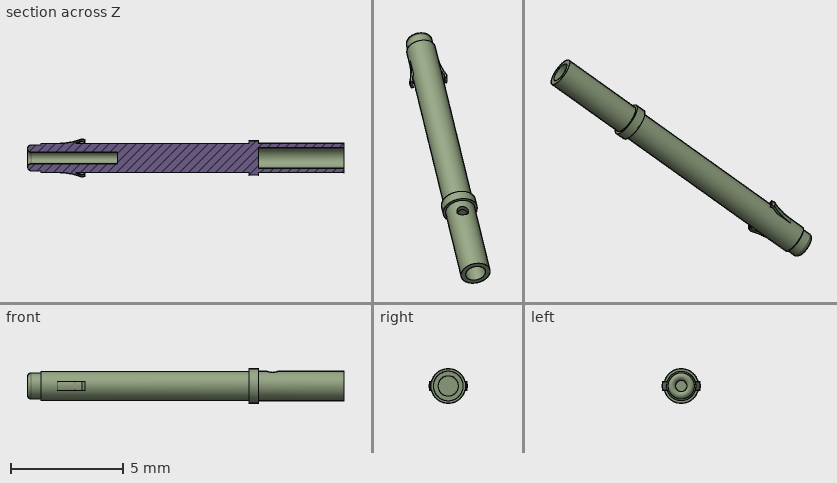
import cadquery as cq

total_length = 14.09

shank_diameter = 1.3
shank_radius = shank_diameter / 2

nose_diameter = 1.17
nose_length = 0.6

socket_diameter = 0.5
socket_depth = 4.0

rim_radius = (nose_diameter - socket_diameter) / 4

collar_diameter = 1.55
collar_start = 9.85
collar_width = 0.44
collar_end = collar_start + collar_width

barrel_diameter = 1.32
barrel_bore_diameter = 0.9

inspection_diameter = 0.5
inspection_x = 10.9

tine_span = 1.7
tine_width = 0.4
tine_start = 1.34
tine_crest_start = 2.42
tine_end = 2.56
tine_thickness = 0.1
tine_tip_drop = 0.03


def cylinder_along_x(diameter, start, end):
    return cq.Workplane("YZ", origin=(start, 0, 0)).circle(diameter / 2).extrude(end - start)


def make_nose():
    """Hollow nose and socket wall, with the rounded rim at the mating face."""
    outer = nose_diameter / 2
    inner = socket_diameter / 2
    return (
        cq.Workplane("XY")
        .moveTo(rim_radius, inner)
        .threePointArc((0, inner + rim_radius), (rim_radius, outer))
        .lineTo(nose_length, outer)
        .lineTo(nose_length, inner)
        .close()
        .revolve(360, (0, 0, 0), (1, 0, 0))
    )


def make_tines():
    """Two slices of a flared ring: an even-walled skirt that curves out of the shank to a turned-down tip."""
    crest = tine_span / 2
    tip = crest - tine_tip_drop
    ramp_length = tine_crest_start - tine_start
    ramp_rise = crest - shank_radius
    ramp_radius = (ramp_length**2 + ramp_rise**2) / (2 * ramp_rise)
    flared_ring = (
        cq.Workplane("XY")
        .moveTo(tine_start, shank_radius)
        .radiusArc((tine_crest_start, crest), -ramp_radius)
        .lineTo(tine_end, tip)
        .lineTo(tine_end, tip - tine_thickness)
        .lineTo(tine_crest_start, crest - tine_thickness)
        .radiusArc((tine_start, shank_radius - tine_thickness), ramp_radius)
        .close()
        .revolve(360, (0, 0, 0), (1, 0, 0))
    )
    slice_center = (tine_start + tine_end) / 2
    slice_box = cq.Workplane("XY", origin=(slice_center, 0, 0)).box(tine_end - tine_start, tine_span, tine_width)
    return flared_ring.intersect(slice_box)


def make_outer_body():
    shank = cylinder_along_x(shank_diameter, nose_length, collar_start)
    collar = cylinder_along_x(collar_diameter, collar_start, collar_end)
    barrel = cylinder_along_x(barrel_diameter, collar_end, total_length)
    return shank.union(collar).union(barrel).union(make_tines())


def make_inspection_hole():
    return cq.Workplane("XY").center(inspection_x, 0).circle(inspection_diameter / 2).extrude(barrel_diameter)


result = make_outer_body()
result = result.cut(cylinder_along_x(socket_diameter, nose_length, socket_depth))
result = result.union(make_nose())
result = result.cut(cylinder_along_x(barrel_bore_diameter, collar_end, total_length))
result = result.cut(make_inspection_hole())